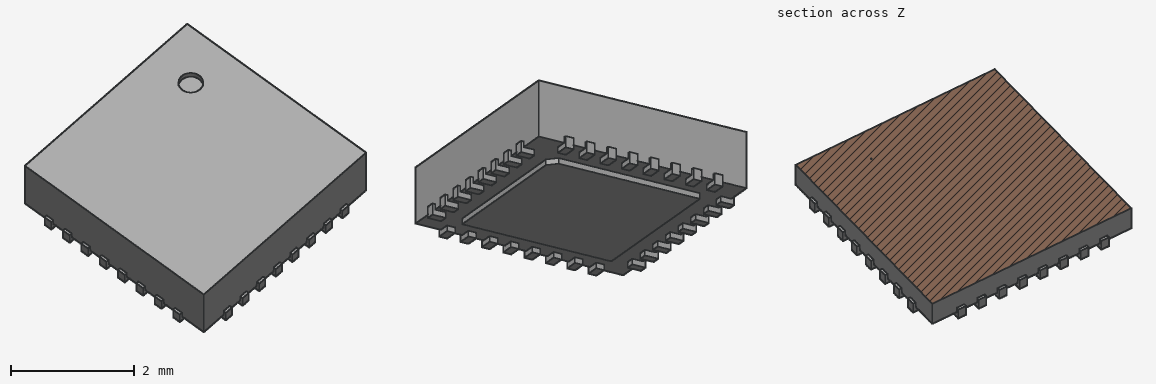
import cadquery as cq

overall_width = 4.0
overall_height = 1.1

leads_per_side = 8
lead_pitch = 0.4
lead_width = 0.15
lead_length = 0.25
lead_height = 0.2
lead_protrusion = 0.05

standoff = 0.1
body_width = overall_width - 2 * lead_protrusion
body_height = overall_height - standoff

pad_width = 2.8
pad_corner_cut = 0.15

marker_diameter = 0.4
marker_depth = 0.1
marker_offset = 1.1


def make_body():
    """Square body with the round pin 1 recess near its -X, +Y corner."""
    body = cq.Workplane("XY").box(body_width, body_width, body_height, centered=(True, True, False))
    body = body.translate((0, 0, standoff))
    marker = (
        cq.Workplane("XY", origin=(-marker_offset, marker_offset, overall_height - marker_depth))
        .circle(marker_diameter / 2)
        .extrude(marker_depth)
    )
    return body.cut(marker)


def make_pad():
    """Square thermal pad with its -X, +Y corner chamfered."""
    pad = cq.Workplane("XY").box(pad_width, pad_width, standoff, centered=(True, True, False))
    return pad.edges("|Z").edges("<X").edges(">Y").chamfer(pad_corner_cut)


def make_lead_row():
    """Row of leads along the -Y side, reaching under the body and up its wall."""
    first_x = -lead_pitch * (leads_per_side - 1) / 2
    centers = [(first_x + i * lead_pitch, (lead_length - overall_width) / 2) for i in range(leads_per_side)]
    return (
        cq.Workplane("XY")
        .pushPoints(centers)
        .box(lead_width, lead_length, lead_height, centered=(True, True, False))
    )


lead_row = make_lead_row()
result = make_body().union(make_pad())
for quarter_turn in range(4):
    result = result.union(lead_row.rotate((0, 0, 0), (0, 0, 1), 90 * quarter_turn))